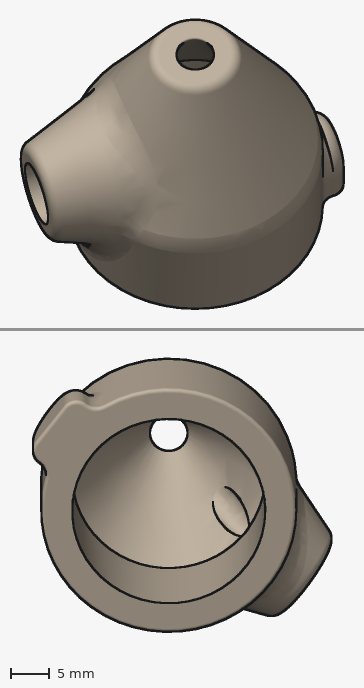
import math

import cadquery as cq

base_radius = 16.4
height = 33.65
shoulder_height = 13.75
cone_top_radius = 5.55
shoulder_fillet = 5.0
top_fillet = 1.5
bottom_fillet = 0.5
cone_slope = (base_radius - cone_top_radius) / (height - shoulder_height)

cavity_radius = 24.8 / 2
throat_radius = 4.8 / 2
lip_fillet = 0.2

nozzle_tip_y = -21.85
nozzle_root_y = -8.0
nozzle_axis_z = 13.8
nozzle_tip_radius = 6.41
nozzle_taper = math.radians(20)
nozzle_tip_fillet = 1.5
nozzle_blend = 6.0

socket_radius = 8.2 / 2
socket_depth = 6.35
duct_radius = 4.0 / 2
duct_rise = math.radians(45)
duct_reach = 8.0

lug_end_y = 19.15
lug_root_y = 14.0
lug_radius = 5.0
lug_axis_z = 4.0
lug_end_fillet = 2.0
lug_blend = 2.0


def edges_in_box(part, low, high):
    """Edges that lie completely inside the box between two corners."""
    return part.edges(cq.selectors.BoxSelector(low, high, boundingbox=True))


def make_body():
    profile = [
        (0, 0),
        (base_radius, 0),
        (base_radius, shoulder_height),
        (cone_top_radius, height),
        (0, height),
    ]
    body = cq.Workplane("XZ").polyline(profile).close().revolve(360, (0, 0), (0, 1))
    reach = base_radius + 1
    shoulder = edges_in_box(
        body,
        (-reach, -reach, shoulder_height - 1),
        (reach, reach, shoulder_height + 1),
    )
    return shoulder.fillet(shoulder_fillet).edges(">Z").fillet(top_fillet)


def add_nozzle(body):
    length = nozzle_root_y - nozzle_tip_y
    root_radius = nozzle_tip_radius + length * math.tan(nozzle_taper)
    cone = cq.Solid.makeCone(
        nozzle_tip_radius,
        root_radius,
        length,
        cq.Vector(0, nozzle_tip_y, nozzle_axis_z),
        cq.Vector(0, 1, 0),
    )
    nozzle = cq.Workplane(cone).faces("<Y").edges().fillet(nozzle_tip_fillet)
    junction = edges_in_box(
        body.union(nozzle),
        (-root_radius, -base_radius - 1, nozzle_axis_z - root_radius),
        (root_radius, nozzle_root_y, nozzle_axis_z + root_radius),
    )
    return junction.fillet(nozzle_blend)


def make_lug():
    """Lug with a semicircular top and a sharp outer end."""
    return (
        cq.Workplane("XZ", origin=(0, lug_end_y, 0))
        .moveTo(-lug_radius, 0)
        .lineTo(-lug_radius, lug_axis_z)
        .threePointArc((0, lug_axis_z + lug_radius), (lug_radius, lug_axis_z))
        .lineTo(lug_radius, 0)
        .close()
        .extrude(lug_end_y - lug_root_y)
    )


def add_lug(body):
    """Add the lug; its root blend stops where the rounding of its end begins."""
    lug = make_lug()
    margin = 0.1
    junction = edges_in_box(
        body.union(lug),
        (-lug_radius - margin, lug_root_y, -margin),
        (lug_radius + margin, base_radius + margin, lug_axis_z + lug_radius + margin),
    )
    blended = junction.fillet(lug_blend)
    round_start_y = lug_end_y - lug_end_fillet
    beyond_blend = (
        cq.Workplane("XZ", origin=(0, round_start_y, 0))
        .rect(2 * base_radius, 2 * height)
        .extrude(-2 * lug_end_fillet)
    )
    rounded_lug = lug.faces(">Y").edges("not <Z").fillet(lug_end_fillet)
    return blended.cut(beyond_blend).union(rounded_lug)


def cut_cavity(part):
    lip_angle = math.pi / 2 - math.atan(cone_slope)
    sharp_radius = throat_radius - lip_fillet * (1 / math.tan(lip_angle / 2) - 1)
    cone_start_z = height - (cavity_radius - sharp_radius) / cone_slope
    profile = [
        (0, 0),
        (cavity_radius, 0),
        (cavity_radius, cone_start_z),
        (sharp_radius, height),
        (0, height),
    ]
    cavity = cq.Workplane("XZ").polyline(profile).close().revolve(360, (0, 0), (0, 1))
    lip_reach = throat_radius + lip_fillet
    lip = edges_in_box(
        part.cut(cavity),
        (-lip_reach, -lip_reach, height - lip_fillet),
        (lip_reach, lip_reach, height + lip_fillet),
    )
    return lip.fillet(lip_fillet)


def cut_inlet(part):
    floor_y = nozzle_tip_y + socket_depth
    socket = (
        cq.Workplane("XZ", origin=(0, floor_y, nozzle_axis_z))
        .circle(socket_radius)
        .extrude(socket_depth)
    )
    duct = (
        cq.Workplane("XZ", origin=(0, floor_y, nozzle_axis_z))
        .circle(duct_radius)
        .workplane(offset=-duct_reach)
        .center(0, duct_reach * math.tan(duct_rise))
        .circle(duct_radius)
        .loft(ruled=True)
    )
    return part.cut(socket).cut(duct)


result = make_body()
result = add_nozzle(result)
result = add_lug(result)
result = result.faces("<Z").edges().fillet(bottom_fillet)
result = cut_cavity(result)
result = cut_inlet(result)